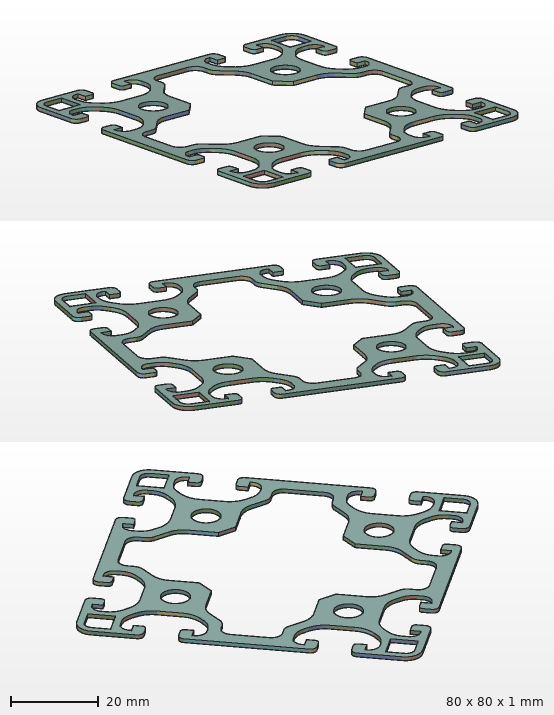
import cadquery as cq
import math

side = 80.0
thickness = 1.0
half = side / 2
cell_offset = side / 4
outer_radius = 4.0

slot_opening = 8.0
lip_gap = 14.0
slot_width = 20.0
lip_wall = 2.0
lip_depth = 4.5
slot_depth = 12.3
slot_shoulder_depth = 7.9
lip_outer_radius = 1.5
lip_tip_radius = 1.0
undercut_radius = 2.5
slot_shoulder_radius = 5.1
slot_floor_radius = 6.5

void_wall = 4.0
void_arm_half_width = 7.1
void_web = 3.1
core_half = 7.55
core_chamfer = 3.35
arm_end_radius = 2.6
arm_shoulder_radius = 3.0
core_blend_radius = 5.8

bore_diameter = 6.8
window_wall = 1.8
window_size = 6.4
window_radius = 2.0


def rotated(x, y, quarter_turns):
    """Turn a point clockwise about the plate centre in 90 degree steps."""
    for _ in range(quarter_turns):
        x, y = y, -x
    return x, y


def toward(start, end, distance):
    """Point on the line from start to end at the given distance from start."""
    share = distance / math.dist(start, end)
    return tuple(a + (b - a) * share for a, b in zip(start, end))


def rounded_prism(corners):
    """Extrude a closed outline of (x, y, radius) corners; radius 0 leaves a sharp corner."""
    path = None
    for index, (x, y, radius) in enumerate(corners):
        corner = (x, y)
        before = corners[index - 1][:2]
        after = corners[(index + 1) % len(corners)][:2]
        in_angle = math.atan2(y - before[1], x - before[0])
        out_angle = math.atan2(after[1] - y, after[0] - x)
        turn = abs(math.remainder(out_angle - in_angle, 2 * math.pi))
        tangent = radius * math.tan(turn / 2)
        entry = toward(corner, before, tangent)
        leave = toward(corner, after, tangent)
        path = path.lineTo(*entry) if path else cq.Workplane("XY").moveTo(*entry)
        if radius > 0:
            chord_middle = tuple((a + b) / 2 for a, b in zip(entry, leave))
            rise = radius * (1 - math.cos(turn / 2))
            path = path.threePointArc(toward(chord_middle, corner, rise), leave)
    return path.close().extrude(thickness)


def make_plate():
    """Square blank with rounded corners."""
    plate = cq.Workplane("XY").rect(side, side).extrude(thickness)
    return plate.edges("|Z").fillet(outer_radius)


def make_slot(center, quarter_turns):
    """T-slot opening through the top side at x = center, turned to another side."""
    mouth_half_width = slot_opening / 2 + 2 * lip_outer_radius
    mouth_overshoot = 1.0
    slope_run = slot_depth - slot_shoulder_depth
    right_half = [
        (mouth_half_width, -mouth_overshoot, 0),
        (mouth_half_width, 0, 0),
        (slot_opening / 2, 0, lip_outer_radius),
        (slot_opening / 2, lip_depth, lip_tip_radius),
        (lip_gap / 2, lip_depth, 0),
        (lip_gap / 2, lip_wall, 0),
        (slot_width / 2, lip_wall, undercut_radius),
        (slot_width / 2, slot_shoulder_depth, slot_shoulder_radius),
        (slot_width / 2 - slope_run, slot_depth, slot_floor_radius),
    ]
    left_half = [(-offset, depth, radius) for offset, depth, radius in reversed(right_half)]
    outline = []
    for offset, depth, radius in right_half + left_half:
        outline.append((*rotated(center + offset, half - depth, quarter_turns), radius))
    return rounded_prism(outline)


def make_central_void():
    """Cross-shaped void whose inner corners follow the four cell cores."""
    arm_end = half - void_wall
    core_face = cell_offset - core_half
    slot_slope_sum = (cell_offset - slot_width / 2) + (half - slot_shoulder_depth)
    void_slope_sum = slot_slope_sum - void_web * math.sqrt(2)
    first_half = [
        (void_arm_half_width, arm_end, arm_end_radius),
        (void_arm_half_width, void_slope_sum - void_arm_half_width, arm_shoulder_radius),
        (core_face, void_slope_sum - core_face, core_blend_radius),
        (core_face, core_face + core_chamfer, 0),
    ]
    second_half = [(y, x, radius) for x, y, radius in reversed(first_half)]
    outline = []
    for quarter_turns in range(4):
        for x, y, radius in first_half + second_half:
            outline.append((*rotated(x, y, quarter_turns), radius))
    return rounded_prism(outline)


def make_corner_window(quarter_turns):
    """Square window in a plate corner, rounded only at its outermost corner."""
    outer = half - window_wall
    inner = outer - window_size
    corners = [(inner, inner, 0), (inner, outer, 0), (outer, outer, window_radius), (outer, inner, 0)]
    return rounded_prism([(*rotated(x, y, quarter_turns), radius) for x, y, radius in corners])


def make_bore(quarter_turns):
    """Round bore through the core of one cell."""
    x, y = rotated(cell_offset, cell_offset, quarter_turns)
    return cq.Workplane("XY").center(x, y).circle(bore_diameter / 2).extrude(thickness)


result = make_plate().cut(make_central_void())
for turns in range(4):
    result = result.cut(make_corner_window(turns))
    result = result.cut(make_bore(turns))
    for slot_center in (-cell_offset, cell_offset):
        result = result.cut(make_slot(slot_center, turns))